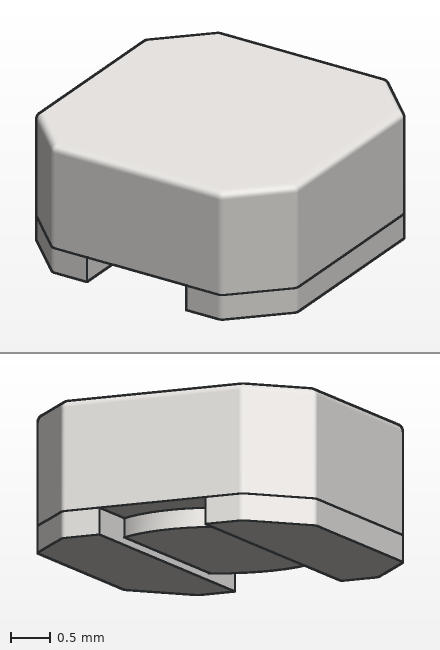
import cadquery as cq

width = 3.95
height = 1.8
corner_chamfer = 0.7
edge_radius = 0.1

terminal_height = 0.35
channel_width = 1.5

boss_radius = 1.45
boss_clearance = 0.1


def octagon_block(bottom, top):
    """Square block with chamfered corners and rounded upright edges."""
    return (
        cq.Workplane("XY", origin=(0, 0, bottom))
        .rect(width, width)
        .extrude(top - bottom)
        .edges("|Z")
        .chamfer(corner_chamfer)
        .edges("|Z")
        .fillet(edge_radius)
    )


def make_boss():
    """Round boss, reaching from just above the mounting plane to the housing."""
    return (
        cq.Workplane("XY", origin=(0, 0, boss_clearance))
        .circle(boss_radius)
        .extrude(terminal_height - boss_clearance)
    )


def make_housing():
    """Octagonal housing with a rounded top rim and the boss below."""
    shell = octagon_block(terminal_height, height).faces(">Z").edges().fillet(edge_radius)
    return shell.union(make_boss()).solids()


def make_terminal(side):
    """Terminal on the -X side (side = -1) or the +X side (side = 1) of the channel."""
    terminal_width = (width - channel_width) / 2
    center_x = side * (channel_width + terminal_width) / 2
    side_region = (
        cq.Workplane("XY", origin=(center_x, 0, 0))
        .rect(terminal_width, width)
        .extrude(terminal_height)
    )
    return octagon_block(0, terminal_height).intersect(side_region).cut(make_boss()).solids()


housing = make_housing()
terminals = [make_terminal(side) for side in (-1, 1)]

result = cq.Compound.makeCompound([housing.val(), *[terminal.val() for terminal in terminals]])